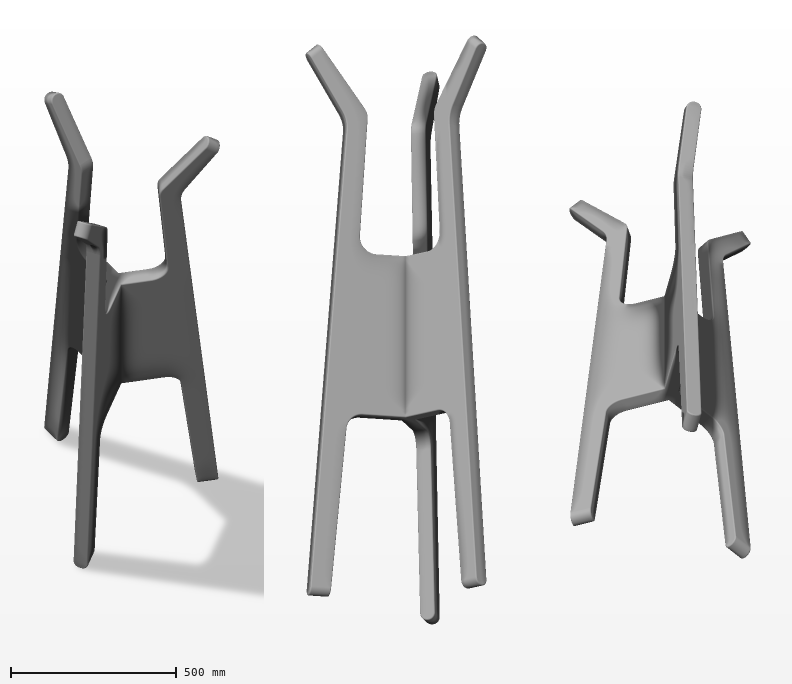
import cadquery as cq
import math

panel_count = 3
panel_angle = 360.0 / panel_count
thickness = 46.0

web_bottom = 565.0
web_top = 1064.0

foot_outer = 312.0
foot_inner = 247.0
lower_slot_reach = 193.0
upper_slot_reach = 159.0
elbow_inner = 130.0
elbow_outer = 195.0
tip_outer = 319.0
tip_inner = 283.0

elbow_inner_height = 1499.0
elbow_outer_height = 1473.0
tip_outer_height = 1675.0
tip_inner_height = 1707.0

lower_slot_radius = 51.0
upper_slot_radius = 51.0
elbow_inner_radius = 50.0
elbow_outer_radius = 92.0
end_radius = 22.0
edge_radius = 3.8


def panel_profile():
    """Side outline of one panel, with sharp corners, from the axis outwards along -X."""
    return cq.Workplane("XZ").polyline([
        (0, web_bottom),
        (-lower_slot_reach, web_bottom),
        (-foot_inner, 0),
        (-foot_outer, 0),
        (-elbow_outer, elbow_outer_height),
        (-tip_outer, tip_outer_height),
        (-tip_inner, tip_inner_height),
        (-elbow_inner, elbow_inner_height),
        (-upper_slot_reach, web_top),
        (0, web_top),
    ]).close()


def round_corner(panel, reach, height, radius):
    """Round the cross-panel edge that passes through the given outline corner."""
    corner = cq.selectors.NearestToPointSelector((-reach, 0, height))
    return panel.edges("|Y").edges(corner).fillet(radius)


def round_end(panel, reach, height):
    """Round both long edges of the end face centred on the given outline point."""
    end_face = cq.selectors.NearestToPointSelector((-reach, 0, height))
    return panel.faces(end_face).edges("not |Y").fillet(end_radius)


def soften_edges(panel):
    """Lightly round the rims of both broad faces, the round ends included."""
    return panel.faces("<Y or >Y").edges().fillet(edge_radius)


def mitre_wedge():
    """Sector about the axis that one panel may fill, so that the panels meet in mitres."""
    reach = 2 * tip_outer
    half_width = reach * math.tan(math.radians(panel_angle / 2))
    return (
        cq.Workplane("XY")
        .polyline([(0, 0), (-reach, half_width), (-reach, -half_width)])
        .close()
        .extrude(tip_inner_height)
    )


def make_panel():
    """One panel: leg, web and outward-bent hook."""
    panel = panel_profile().extrude(thickness / 2, both=True)
    panel = round_corner(panel, lower_slot_reach, web_bottom, lower_slot_radius)
    panel = round_corner(panel, upper_slot_reach, web_top, upper_slot_radius)
    panel = round_corner(panel, elbow_inner, elbow_inner_height, elbow_inner_radius)
    panel = round_corner(panel, elbow_outer, elbow_outer_height, elbow_outer_radius)
    panel = round_end(panel, (foot_outer + foot_inner) / 2, 0)
    panel = round_end(panel, (tip_outer + tip_inner) / 2, (tip_outer_height + tip_inner_height) / 2)
    panel = soften_edges(panel)
    return panel.intersect(mitre_wedge())


first_panel = make_panel()
panels = [
    first_panel.rotate((0, 0, 0), (0, 0, 1), index * panel_angle)
    for index in range(panel_count)
]

result = cq.Compound.makeCompound([panel.solids().val() for panel in panels])